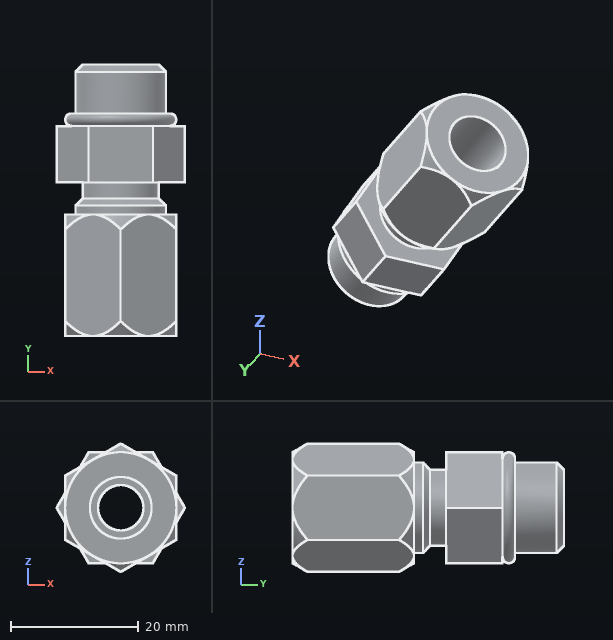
import cadquery as cq
import math


across_flats = 17.475
hex_sides = 6
half_side_angle = 180 / hex_sides
across_corners = across_flats / math.cos(math.radians(half_side_angle))
body_hex_turn = 0
nut_turn = half_side_angle

nut_length = 19.1
collar_length = 1.4
collar_taper_length = 1.1
neck_length = 2.55
body_hex_length = 8.85
stud_length = 9.67
stud_chamfer = 1.15

collar_start = nut_length
taper_start = collar_start + collar_length
neck_start = taper_start + collar_taper_length
body_hex_start = neck_start + neck_length
stud_start = body_hex_start + body_hex_length
stud_end = stud_start + stud_length

stud_diameter = 14.3
collar_diameter = stud_diameter
neck_diameter = 12.0
nut_face_diameter = across_flats
ring_diameter = across_flats
ring_section = 2.0
tube_socket_diameter = 9.7
bore_diameter = 7.1

nut_chamfer_angle = 60

socket_depth = body_hex_start


def cylinder(diameter, start, length):
    """Round bar along +Y."""
    plane = cq.Workplane("XZ", origin=(0, start, 0))
    return plane.circle(diameter / 2).extrude(-length)


def hexagon(start, length, turn):
    """Hexagonal bar along +Y; a turn of 0 puts two corners on the X axis."""
    plane = cq.Workplane("XZ", origin=(0, start, 0))
    bar = plane.polygon(hex_sides, across_corners).extrude(-length)
    return bar.rotate((0, 0, 0), (0, 1, 0), turn)


def revolved(profile):
    """Solid of revolution about Y from (radius, Y) points."""
    outline = cq.Workplane("XY").polyline(profile).close()
    return outline.revolve(360, (0, 0, 0), (0, 1, 0))


def make_nut():
    """Hexagonal nut with the corners of both ends turned down to a cone."""
    face_radius = nut_face_diameter / 2
    corner_radius = across_corners / 2
    rise = (corner_radius - face_radius) * math.tan(math.radians(nut_chamfer_angle))
    envelope = revolved([
        (0, 0),
        (face_radius, 0),
        (corner_radius, rise),
        (corner_radius, nut_length - rise),
        (face_radius, nut_length),
        (0, nut_length),
    ])
    return hexagon(0, nut_length, nut_turn).intersect(envelope)


def make_neck():
    """Collar behind the nut, tapering down to the neck."""
    return revolved([
        (0, collar_start),
        (collar_diameter / 2, collar_start),
        (collar_diameter / 2, taper_start),
        (neck_diameter / 2, neck_start),
        (neck_diameter / 2, body_hex_start),
        (0, body_hex_start),
    ])


def make_stud():
    """Plain stud with a chamfered free end."""
    stud = cylinder(stud_diameter, stud_start, stud_length)
    return stud.faces(">Y").chamfer(stud_chamfer)


def make_sealing_ring():
    """O-ring seated against the body hexagon."""
    center_radius = (ring_diameter - ring_section) / 2
    center_y = stud_start + ring_section / 2
    section = cq.Workplane("XY").center(-center_radius, center_y).circle(ring_section / 2)
    return section.revolve(360, (center_radius, 0, 0), (center_radius, 1, 0))


outside = (
    make_nut()
    .union(make_neck())
    .union(hexagon(body_hex_start, body_hex_length, body_hex_turn))
    .union(make_stud())
    .union(make_sealing_ring())
)

tube_socket = cylinder(tube_socket_diameter, 0, socket_depth)
bore = cylinder(bore_diameter, 0, stud_end)
result = outside.cut(tube_socket).cut(bore)